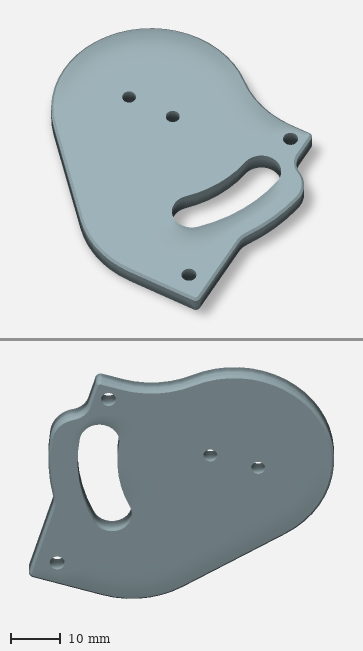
import cadquery as cq
import math

length_x = 56.95
length_y = 57.85
thickness = 4.0
edge_chamfer = 0.5

disk_radius = 20.0
blend_radius = disk_radius
lobe_radius = 37.25
tip_radius = 5.8
neck_radius = 4.0
foot_radius = 5.0
corner_radius = 1.0
bottom_flat = 15.7
touch_tolerance = 5.79e-07
shoulder_y = 10.0
bottom_y = disk_radius - length_y
edge_x = 31.75

pivot_hole_diameter = 2.8
pivot_hole_spacing = 10.0
mount_hole_diameter = 3.0
mount_hole_centres = [(28.35, 6.6), (27.1, -33.0)]
slot_path_radius = 27.45
slot_width = 8.0
slot_start_angle = -43.5
slot_end_angle = -7.1


def polar(center, radius, angle):
    """Point at the given angle in degrees on a circle."""
    a = math.radians(angle)
    return (center[0] + radius * math.cos(a), center[1] + radius * math.sin(a))


def direction(start, end):
    """Angle in degrees of the line from start to end."""
    return math.degrees(math.atan2(end[1] - start[1], end[0] - start[0]))


def make_plate():
    origin = (0.0, 0.0)

    shoulder_center_y = shoulder_y + blend_radius
    shoulder_center_x = math.sqrt((disk_radius + blend_radius) ** 2 - shoulder_center_y ** 2)
    shoulder_center = (shoulder_center_x, shoulder_center_y)
    shoulder_angle = direction(origin, shoulder_center)

    lower_center = (edge_x - bottom_flat, bottom_y + blend_radius)
    flank_angle = direction(origin, lower_center) - 90

    tip_center_x = length_x - disk_radius - tip_radius
    tip_center = (tip_center_x, -math.sqrt((lobe_radius - tip_radius) ** 2 - tip_center_x ** 2))
    tip_angle = direction(origin, tip_center)

    neck_center_x = edge_x + neck_radius
    neck_rise = math.sqrt((tip_radius + neck_radius) ** 2 - (neck_center_x - tip_center_x) ** 2)
    neck_center = (neck_center_x, tip_center[1] + neck_rise)
    neck_angle = direction(tip_center, neck_center)

    foot_center_x = edge_x + foot_radius
    foot_center = (foot_center_x, -math.sqrt((lobe_radius + foot_radius) ** 2 - foot_center_x ** 2))
    foot_angle = direction(origin, foot_center)

    top_corner = (edge_x - corner_radius, shoulder_y - corner_radius)
    bottom_corner = (edge_x - corner_radius, bottom_y + corner_radius)

    outline_arcs = [
        (origin, disk_radius, flank_angle + 360, shoulder_angle),
        (shoulder_center, blend_radius, shoulder_angle + 180, 270),
        (top_corner, corner_radius, 90, 0),
        (neck_center, neck_radius, 180, neck_angle + 180),
        (tip_center, tip_radius, neck_angle, tip_angle),
        (origin, lobe_radius, tip_angle, foot_angle),
        (foot_center, foot_radius, foot_angle + 180, 180),
        (bottom_corner, corner_radius, 0, -90),
        (lower_center, blend_radius, -90, flank_angle),
    ]
    pen = polar(origin, disk_radius, flank_angle)
    outline = cq.Workplane("XY").moveTo(*pen)
    for center, radius, start_angle, end_angle in outline_arcs:
        start = polar(center, radius, start_angle)
        if math.dist(start, pen) > touch_tolerance:
            outline = outline.lineTo(*start)
        pen = polar(center, radius, end_angle)
        outline = outline.threePointArc(polar(center, radius, (start_angle + end_angle) / 2), pen)
    plate = outline.close().extrude(thickness)
    return plate.faces("<Z or >Z").chamfer(edge_chamfer)


def make_holes():
    pivot_x = pivot_hole_spacing / 2
    pivots = cq.Workplane("XY").pushPoints([(-pivot_x, 0), (pivot_x, 0)])
    pivots = pivots.circle(pivot_hole_diameter / 2).extrude(thickness)
    mounts = cq.Workplane("XY").pushPoints(mount_hole_centres)
    mounts = mounts.circle(mount_hole_diameter / 2).extrude(thickness)
    return pivots.add(mounts).combine()


def make_slot():
    origin = (0.0, 0.0)
    end_radius = slot_width / 2
    inner_radius = slot_path_radius - end_radius
    outer_radius = slot_path_radius + end_radius
    first_end = polar(origin, slot_path_radius, slot_start_angle)
    last_end = polar(origin, slot_path_radius, slot_end_angle)
    middle_angle = (slot_start_angle + slot_end_angle) / 2
    return (
        cq.Workplane("XY")
        .moveTo(*polar(origin, outer_radius, slot_start_angle))
        .threePointArc(
            polar(origin, outer_radius, middle_angle),
            polar(origin, outer_radius, slot_end_angle),
        )
        .threePointArc(
            polar(last_end, end_radius, slot_end_angle + 90),
            polar(origin, inner_radius, slot_end_angle),
        )
        .threePointArc(
            polar(origin, inner_radius, middle_angle),
            polar(origin, inner_radius, slot_start_angle),
        )
        .threePointArc(
            polar(first_end, end_radius, slot_start_angle - 90),
            polar(origin, outer_radius, slot_start_angle),
        )
        .close()
        .extrude(thickness)
    )


result = make_plate().cut(make_holes()).cut(make_slot())